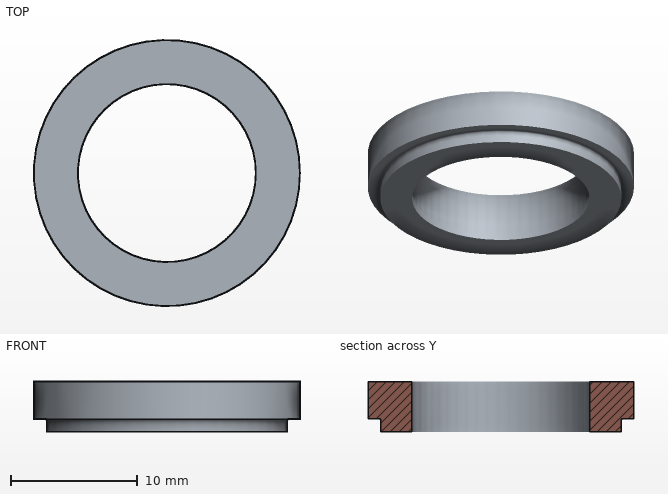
import cadquery as cq

flange_diameter = 21.0
spigot_diameter = 19.0
bore_diameter = 14.0
total_height = 4.0
spigot_height = 1.0
corner_fillet_radius = 0.1
flange_height = total_height - spigot_height

spigot = cq.Workplane("XY").circle(spigot_diameter / 2).extrude(spigot_height)

flange = (
    cq.Workplane("XY")
    .workplane(offset=spigot_height)
    .circle(flange_diameter / 2)
    .extrude(flange_height)
)

bore = cq.Workplane("XY").circle(bore_diameter / 2).extrude(total_height)

body = (
    spigot.union(flange)
    .faces("<Z[1]")
    .edges(cq.selectors.RadiusNthSelector(0))
    .fillet(corner_fillet_radius)
)

result = body.cut(bore)